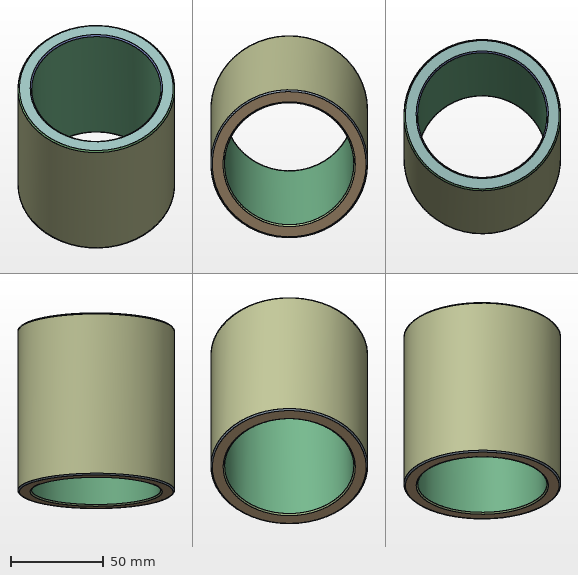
import cadquery as cq

height = 90.0
outer_diameter = 85.0
bore_diameter = 70.0
chamfer = 0.8

sleeve = (
    cq.Workplane("XY")
    .circle(outer_diameter / 2)
    .circle(bore_diameter / 2)
    .extrude(height)
)

result = sleeve.faces("<Z or >Z").edges().chamfer(chamfer)